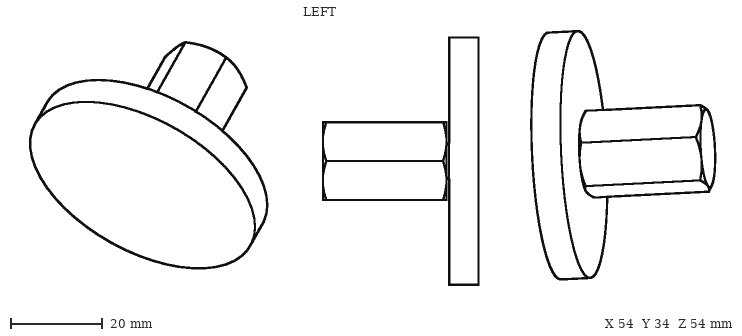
import cadquery as cq
import math

disc_diameter = 54.0
disc_thickness = 6.5
total_depth = 34.0

across_flats = 17.0
hex_length = 27.0
chamfer_angle = 30.0

neck_base_diameter = 8.0
neck_tip_diameter = 7.0

neck_length = total_depth - disc_thickness - hex_length
hex_start = disc_thickness + neck_length
across_corners = across_flats / math.cos(math.radians(30))
corner_overhang = (across_corners - across_flats) / 2
chamfer_drop = corner_overhang * math.tan(math.radians(chamfer_angle))


def plane_at(y):
    """Plane at depth y whose normal points along +Y."""
    return cq.Plane(origin=(0, y, 0), xDir=(1, 0, 0), normal=(0, 1, 0))


def make_disc():
    """Round disc with the short tapered neck on its back face."""
    plate = cq.Workplane(plane_at(0)).circle(disc_diameter / 2).extrude(disc_thickness)
    neck = (
        cq.Workplane(plane_at(disc_thickness))
        .circle(neck_base_diameter / 2)
        .workplane(offset=neck_length)
        .circle(neck_tip_diameter / 2)
        .loft()
    )
    return plate.union(neck)


def make_standoff():
    """Hexagonal bar with its corners turned off conically at both ends."""
    bar = cq.Workplane(plane_at(hex_start)).polygon(6, across_corners).extrude(hex_length)
    turned_envelope = (
        cq.Workplane(plane_at(hex_start))
        .circle(across_corners / 2)
        .extrude(hex_length)
        .faces("<Y or >Y")
        .edges()
        .chamfer(chamfer_drop, corner_overhang)
    )
    return bar.intersect(turned_envelope)


disc = make_disc()
standoff = make_standoff()
result = cq.Compound.makeCompound([disc.solids().val(), standoff.solids().val()])